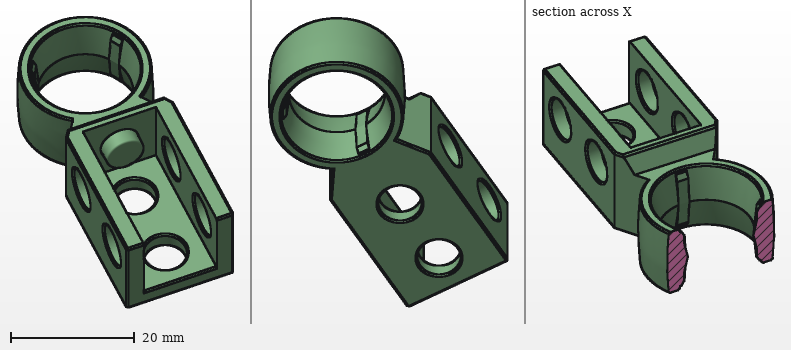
import cadquery as cq
import math

RING_RADIUS = 11.0
RING_RIM_RADIUS = 10.75
RING_HEIGHT = 12.5
BORE_WAIST_RADIUS = 7.75
BORE_MOUTH_RADIUS = 8.95
BORE_FLANK_BULGE = 0.1
EDGE_CHAMFER = 0.3

RIB_COUNT = 3
RIB_WIDTH = 2.0
RIB_WAIST_RADIUS = 7.68
RIB_SHOULDER_RADIUS = 8.1
RIB_END_RADIUS = 8.65
RIB_END_GAP = 0.7
RIB_BEVEL_HEIGHT = 1.1

FORK_START_X = 14.0
FORK_END_X = 39.0
FORK_HEIGHT = 15.62
WALL = 3.0
SLOT_WIDTH = 12.8
FORK_WIDTH = SLOT_WIDTH + 2 * WALL
STEP_START_X = 10.9
STEP_ANGLE = 60.0

HOLE_DIAMETER = 7.0
HOLE_CHAMFER = 0.3
FIRST_HOLE_X = 20.3
HOLE_SPACING = 12.5
HOLE_XS = [FIRST_HOLE_X, FIRST_HOLE_X + HOLE_SPACING]
HOLE_Z = WALL + SLOT_WIDTH / 2

STUD_DIAMETER = 6.6
STUD_LENGTH = 2.65
STUD_DRAFT = 2.0
STUD_ROUNDING = 0.3

MID_Z = RING_HEIGHT / 2


def revolve_about_z(profile):
    return profile.close().revolve(360, (0, 0, 0), (0, 1, 0))


def ring_body():
    rim_flat_radius = RING_RIM_RADIUS - EDGE_CHAMFER
    profile = (
        cq.Workplane("XZ")
        .lineTo(rim_flat_radius, 0)
        .lineTo(RING_RIM_RADIUS, EDGE_CHAMFER)
        .threePointArc((RING_RADIUS, MID_Z), (RING_RIM_RADIUS, RING_HEIGHT - EDGE_CHAMFER))
        .lineTo(rim_flat_radius, RING_HEIGHT)
        .lineTo(0, RING_HEIGHT)
    )
    return revolve_about_z(profile)


def bore():
    """Two gently bulged flanks that meet at a crease halfway up."""
    mouth_edge_radius = BORE_MOUTH_RADIUS + EDGE_CHAMFER
    flank_radius = (BORE_MOUTH_RADIUS + BORE_WAIST_RADIUS) / 2 - BORE_FLANK_BULGE
    flank_z = (EDGE_CHAMFER + MID_Z) / 2
    mouth_top_z = RING_HEIGHT - EDGE_CHAMFER
    profile = (
        cq.Workplane("XZ")
        .lineTo(mouth_edge_radius, 0)
        .lineTo(BORE_MOUTH_RADIUS, EDGE_CHAMFER)
        .threePointArc((flank_radius, flank_z), (BORE_WAIST_RADIUS, MID_Z))
        .threePointArc((flank_radius, RING_HEIGHT - flank_z), (BORE_MOUTH_RADIUS, mouth_top_z))
        .lineTo(mouth_edge_radius, RING_HEIGHT)
        .lineTo(0, RING_HEIGHT)
    )
    return revolve_about_z(profile)


def grip_rib(angle):
    """One rib with bevelled ends, leaning inwards to a crease at the bore waist."""
    root_radius = (BORE_MOUTH_RADIUS + RING_RIM_RADIUS) / 2
    bottom_z = RIB_END_GAP
    top_z = RING_HEIGHT - RIB_END_GAP
    rib = (
        cq.Workplane("XZ")
        .moveTo(root_radius, bottom_z)
        .lineTo(RIB_END_RADIUS, bottom_z)
        .lineTo(RIB_SHOULDER_RADIUS, bottom_z + RIB_BEVEL_HEIGHT)
        .lineTo(RIB_WAIST_RADIUS, MID_Z)
        .lineTo(RIB_SHOULDER_RADIUS, top_z - RIB_BEVEL_HEIGHT)
        .lineTo(RIB_END_RADIUS, top_z)
        .lineTo(root_radius, top_z)
        .close()
        .extrude(RIB_WIDTH / 2, both=True)
    )
    return rib.rotate((0, 0, 0), (0, 0, 1), angle)


def fork_block():
    """Solid neck and fork block; the neck sides run straight towards the ring axis."""
    half_width = FORK_WIDTH / 2
    block = (
        cq.Workplane("XY")
        .polyline([
            (0, 0),
            (FORK_START_X, -half_width),
            (FORK_END_X, -half_width),
            (FORK_END_X, half_width),
            (FORK_START_X, half_width),
        ])
        .close()
        .extrude(FORK_HEIGHT)
    )
    step_run = (FORK_HEIGHT - RING_HEIGHT) / math.tan(math.radians(STEP_ANGLE))
    side_profile = (
        cq.Workplane("XZ")
        .polyline([
            (0, 0),
            (FORK_END_X, 0),
            (FORK_END_X, FORK_HEIGHT),
            (STEP_START_X + step_run, FORK_HEIGHT),
            (STEP_START_X, RING_HEIGHT),
            (0, RING_HEIGHT),
        ])
        .close()
        .extrude(FORK_WIDTH, both=True)
    )
    block = block.intersect(side_profile)
    return block.faces(">Z or <Z or >X").edges().chamfer(EDGE_CHAMFER)


def slot():
    """Channel between the walls, with the open end of its floor chamfered."""
    length = FORK_END_X - FORK_START_X
    height = FORK_HEIGHT - WALL
    channel = (
        cq.Workplane("XY")
        .box(length, SLOT_WIDTH, height, centered=(False, True, False))
        .translate((FORK_START_X, 0, WALL))
    )
    floor_end_chamfer = (
        cq.Workplane("XZ")
        .polyline([
            (FORK_END_X - EDGE_CHAMFER, WALL),
            (FORK_END_X, WALL - EDGE_CHAMFER),
            (FORK_END_X, WALL),
        ])
        .close()
        .extrude(SLOT_WIDTH / 2, both=True)
    )
    return channel.union(floor_end_chamfer)


def panel_hole():
    """Cutter along +Z for one panel of wall thickness, chamfered at both faces."""
    radius = HOLE_DIAMETER / 2
    mouth_radius = radius + HOLE_CHAMFER
    profile = (
        cq.Workplane("XZ")
        .lineTo(mouth_radius, 0)
        .lineTo(radius, HOLE_CHAMFER)
        .lineTo(radius, WALL - HOLE_CHAMFER)
        .lineTo(mouth_radius, WALL)
        .lineTo(0, WALL)
    )
    return revolve_about_z(profile)


def cut_holes(body):
    floor_hole = panel_hole()
    wall_hole = floor_hole.rotate((0, 0, 0), (1, 0, 0), -90)
    for x in HOLE_XS:
        body = body.cut(floor_hole.translate((x, 0, 0)))
        for wall_start_y in (-FORK_WIDTH / 2, SLOT_WIDTH / 2):
            body = body.cut(wall_hole.translate((x, wall_start_y, HOLE_Z)))
    return body


def stud():
    return (
        cq.Workplane("YZ", origin=(FORK_START_X, 0, HOLE_Z))
        .circle(STUD_DIAMETER / 2)
        .extrude(STUD_LENGTH, taper=STUD_DRAFT)
        .faces(">X")
        .edges()
        .fillet(STUD_ROUNDING)
    )


fork = cut_holes(fork_block().cut(slot())).union(stud())
result = ring_body().union(fork).cut(bore())
for rib_index in range(RIB_COUNT):
    result = result.union(grip_rib(rib_index * 360 / RIB_COUNT))